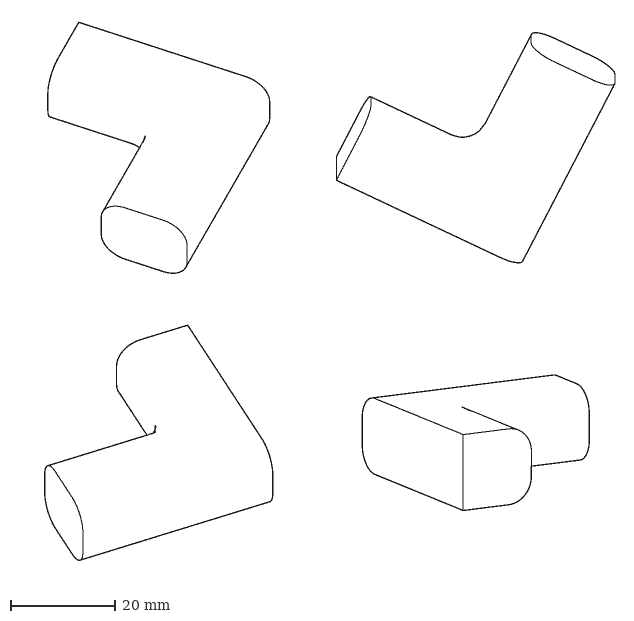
import cadquery as cq

length = 40.0
height = 15.0
x_arm_width = 15.0
y_arm_width = 18.0
round_radius = 5.0

inner_x = length / 2 - y_arm_width
inner_y = length / 2 - x_arm_width
margin = 0.4


def edges_near(x_min, x_max, y_min, y_max, z_min, z_max):
    """Select edges whose centres lie in the given box."""
    return cq.selectors.BoxSelector(
        (x_min - margin, y_min - margin, z_min - margin),
        (x_max + margin, y_max + margin, z_max + margin),
    )


elbow = (
    cq.Workplane("XY")
    .polyline([
        (-length / 2, length / 2),
        (length / 2, length / 2),
        (length / 2, -length / 2),
        (inner_x, -length / 2),
        (inner_x, inner_y),
        (-length / 2, inner_y),
    ])
    .close()
    .extrude(height)
)

outer_edges = edges_near(length / 2, length / 2, 0, 0, 0, height)
elbow = elbow.edges("|Y").edges(outer_edges).fillet(round_radius)

upper_inner_edges = edges_near(-length / 2, inner_x, -length / 2, inner_y, height, height)
elbow = elbow.edges("#Z").edges(upper_inner_edges).fillet(round_radius)

corner_edge = edges_near(inner_x, inner_x, inner_y, inner_y, 0, height)
elbow = elbow.edges("|Z").edges(corner_edge).fillet(round_radius)

lower_inner_edges = edges_near(-length / 2, inner_x, -length / 2, inner_y, 0, 0)
elbow = elbow.edges("#Z").edges(lower_inner_edges).fillet(round_radius)

result = elbow